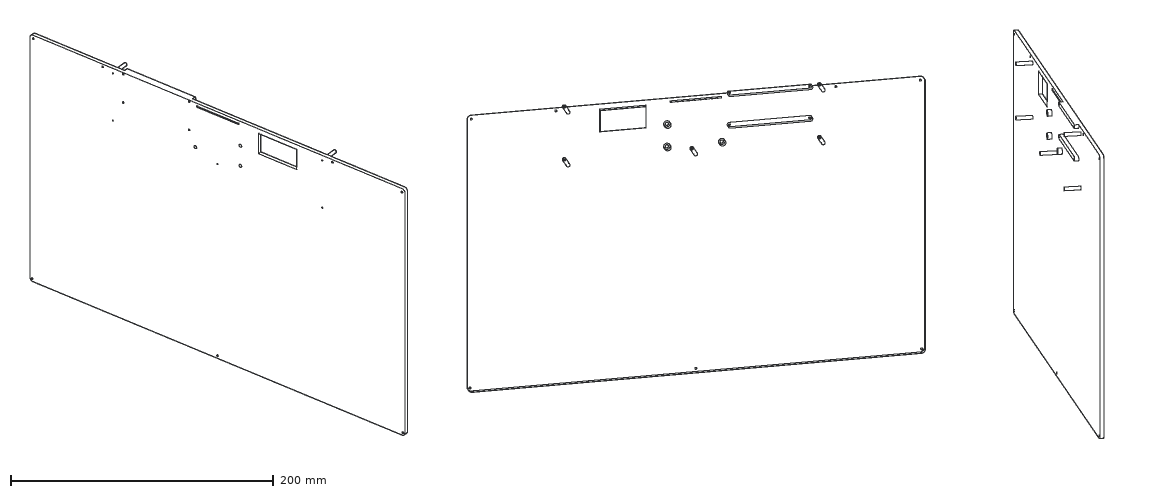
import cadquery as cq

width = 359.0
height = 225.0
total_depth = 16.0
panel_thickness = 3.2
corner_radius = 3.2

window_left = 39.0
window_width = 36.5
window_height = 18.3
window_drop = 4.3

slot_length = 40.2
slot_height = 1.0
slot_drop = 2.5

post_diameter = 3.0
post_bore = 0.9
post_spread = 100.0
upper_post_drop = 4.5
lower_post_drop = 47.7

pad_height = 3.2
boss_diameter = 5.0
boss_bore = 2.5
boss_left = -21.2
boss_right = 22.0
upper_boss_drop = 22.3
lower_boss_drop = 40.5

rail_width = 3.5
rail_bore = 1.25
rail_hole_left = -90.0
rail_hole_right = -27.3
upper_rail_drop = 1.5
lower_rail_drop = 27.3

border_hole_diameter = 1.5
top_corner_hole_spread = 176.3
top_corner_hole_drop = 3.2
top_hole_spread = 110.0
top_hole_drop = 2.5
bottom_corner_hole_spread = 177.5
bottom_hole_height = 2.5

post_length = total_depth - panel_thickness
rail_hole_pitch = rail_hole_right - rail_hole_left
rail_center = (rail_hole_left + rail_hole_right) / 2


def plane_at(y):
    """Upright sketch plane at depth y, X to the right and Z up; its normal points to -Y."""
    return cq.Workplane("XZ", origin=(0, y, 0))


def below_top(x, drop):
    """Point on the panel given by its distance below the top edge."""
    return (x, height - drop)


def cylinders(points, diameter, start, length):
    """Round bars along +Y, starting at depth start."""
    return plane_at(start).pushPoints(points).circle(diameter / 2).extrude(-length)


def rail(drop):
    """Round-ended strip on the rear face, trimmed where it would pass the top edge."""
    strip = (
        plane_at(panel_thickness)
        .center(*below_top(rail_center, drop))
        .slot2D(rail_hole_pitch + rail_width, rail_width)
        .extrude(-pad_height)
    )
    limit = cq.Workplane("XY").box(width, total_depth, height, centered=(True, False, False))
    return strip.intersect(limit)


def box_cut(left, drop, length, cut_height):
    """Rectangular opening through the panel, placed by its top-left corner."""
    return (
        plane_at(0)
        .center(*below_top(left + length / 2, drop + cut_height / 2))
        .rect(length, cut_height)
        .extrude(-panel_thickness)
    )


post_points = [below_top(0, lower_post_drop)]
for side in (-1, 1):
    for post_drop in (upper_post_drop, lower_post_drop):
        post_points.append(below_top(side * post_spread, post_drop))

boss_points = [
    below_top(boss_right, upper_boss_drop),
    below_top(boss_right, lower_boss_drop),
    below_top(boss_left, lower_boss_drop),
]

rail_drops = (upper_rail_drop, lower_rail_drop)
rail_points = [below_top(x, drop) for x in (rail_hole_left, rail_hole_right) for drop in rail_drops]

border_hole_points = [(0, bottom_hole_height)]
for side in (-1, 1):
    border_hole_points.append(below_top(side * top_corner_hole_spread, top_corner_hole_drop))
    border_hole_points.append(below_top(side * top_hole_spread, top_hole_drop))
    border_hole_points.append((side * bottom_corner_hole_spread, bottom_hole_height))

result = (
    cq.Workplane("XY")
    .box(width, panel_thickness, height, centered=(True, False, False))
    .edges("|Y")
    .fillet(corner_radius)
)

result = result.union(cylinders(post_points, post_diameter, panel_thickness, post_length))
result = result.union(cylinders(boss_points, boss_diameter, panel_thickness, pad_height))
for rail_drop in rail_drops:
    result = result.union(rail(rail_drop))

result = result.cut(box_cut(window_left, window_drop, window_width, window_height))
result = result.cut(box_cut(-slot_length / 2, slot_drop, slot_length, slot_height))

for points, diameter in (
    (post_points, post_bore),
    (boss_points, boss_bore),
    (rail_points, rail_bore),
    (border_hole_points, border_hole_diameter),
):
    result = result.cut(cylinders(points, diameter, 0, total_depth))